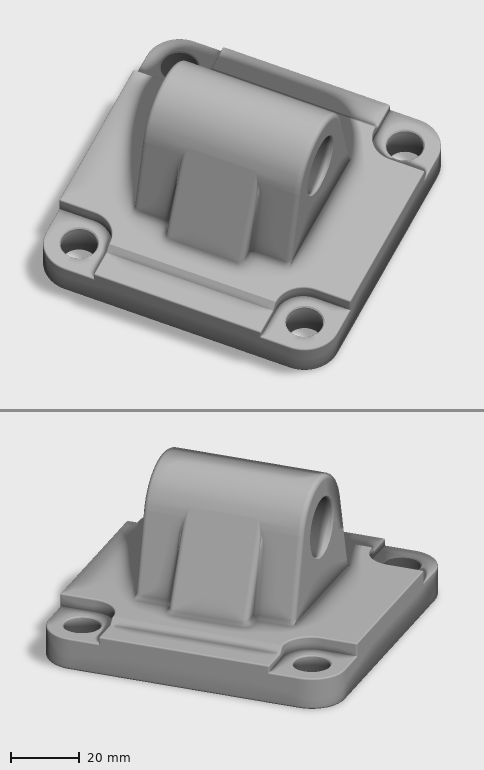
import cadquery as cq
import math

plate_size = 93.0
plate_top = 14.0
corner_radius = 10.5
edge_round = 0.5
bottom_round = 0.7

strip_top = 12.2
strip_slope_start = 35.7
strip_slope_end = 37.7

seat_height = 9.95
seat_inner = 26.7
seat_radius = 8.65
hole_offset = 36.0
hole_diameter = 11.0
hole_chamfer = 0.4

pin_height = 36.0
bearing_radius = 16.0
block_length = 50.0
block_slope = 14.0
block_round = 1.5
bore_diameter = 18.0
bore_chamfer = 0.4

rib_width = 24.9
rib_slope = 25.0
rib_round = 1.6

root_round = 1.5
end_root_round = 0.5
valley_round = 1.0

embed_depth = 2.8

tolerance = 0.01


def flank_tangent(slope):
    """Y and Z where a flank leaning by slope degrees touches the bearing radius."""
    angle = math.radians(slope)
    return bearing_radius * math.cos(angle), pin_height + bearing_radius * math.sin(angle)


def flank_y(slope, height):
    """Distance from the center plane to a flank at the given height."""
    tangent_y, tangent_z = flank_tangent(slope)
    return tangent_y + (tangent_z - height) * math.tan(math.radians(slope))


def bearing_prism(slope, length):
    """Round-topped prism along X with straight flanks tangent to the bearing radius."""
    bottom = plate_top - embed_depth
    foot_y = flank_y(slope, bottom)
    tangent_y, tangent_z = flank_tangent(slope)
    return (
        cq.Workplane("YZ", origin=(-length / 2, 0, 0))
        .moveTo(-foot_y, bottom)
        .lineTo(-tangent_y, tangent_z)
        .threePointArc((0, pin_height + bearing_radius), (tangent_y, tangent_z))
        .lineTo(foot_y, bottom)
        .close()
        .extrude(length)
    )


def rounded_rib(width, radius):
    """Rib prism with its sloping side edges rounded."""
    rib = bearing_prism(rib_slope, width)
    return rib.faces("<X or >X").edges("not(<Z)").fillet(radius)


def flared_cutter(diameter, chamfer, length):
    """Hole cutter along Z from the origin, flared by a chamfer at both mouths."""
    radius = diameter / 2
    return (
        cq.Workplane("XZ")
        .lineTo(radius + chamfer, 0)
        .lineTo(radius, chamfer)
        .lineTo(radius, length - chamfer)
        .lineTo(radius + chamfer, length)
        .lineTo(0, length)
        .close()
        .revolve(360, (0, 0, 0), (0, 1, 0))
    )


def corner_fill(plane, radius, length):
    """Concave filler bar for a square inner corner at the plane origin."""
    middle = radius * (1 - math.sqrt(0.5))
    return (
        cq.Workplane(plane)
        .lineTo(radius, 0)
        .threePointArc((middle, middle), (0, radius))
        .close()
        .extrude(length)
    )


def base_plate():
    """Rounded square plate with two lowered strips and four corner seats."""
    half = plate_size / 2
    plate = (
        cq.Workplane("XY")
        .rect(plate_size, plate_size)
        .extrude(plate_top)
        .edges("|Z")
        .fillet(corner_radius)
    )

    strip = (
        cq.Workplane("YZ", origin=(-half, 0, 0))
        .moveTo(strip_slope_start, plate_top)
        .lineTo(strip_slope_end, strip_top)
        .lineTo(half, strip_top)
        .lineTo(half, plate_top)
        .close()
        .extrude(plate_size)
    )
    plate = plate.cut(strip).cut(strip.mirror("XZ"))

    seat_size = 2 * (half - seat_inner)
    seats = (
        cq.Workplane("XY", origin=(0, 0, seat_height))
        .rect(plate_size, plate_size, forConstruction=True)
        .vertices()
        .rect(seat_size, seat_size)
        .extrude(plate_top)
        .edges("|Z")
        .fillet(seat_radius)
    )
    return plate.cut(seats)


def round_plate_edges(plate):
    """Round the raised rims, the outer rims of the seats and the bottom rim."""
    outer_reach = plate_size / 2 - corner_radius / 2

    def is_upper_rim(edge):
        middle = edge.Center()
        outer = max(abs(middle.x), abs(middle.y)) > outer_reach
        if outer:
            return middle.z > seat_height - tolerance
        return middle.z > strip_top - tolerance and abs(middle.x) > tolerance

    upper_rims = [edge for edge in plate.edges().vals() if is_upper_rim(edge)]
    plate = plate.newObject(upper_rims).fillet(edge_round)
    return plate.faces("<Z").edges().fillet(bottom_round)


def block_with_ribs(plate):
    """Add the bearing block and ribs, with wide rounds at the foot of their flanks."""
    block = bearing_prism(block_slope, block_length)
    block = block.faces("<X or >X").edges("not(<Z)").fillet(block_round)
    ribs = rounded_rib(rib_width, rib_round)
    part = plate.union(block).union(ribs)

    def is_root(edge):
        middle = edge.Center()
        reach = math.hypot(middle.x, middle.y)
        on_plate = abs(middle.z - plate_top) < tolerance and edge.BoundingBox().zlen < tolerance
        return on_plate and reach < strip_slope_start - 2 * edge_round

    roots = [edge for edge in part.edges().vals() if is_root(edge)]
    part = part.newObject(roots).fillet(root_round)
    return part.cut(end_trim())


def end_trim():
    """Cutters that take the wide root rounds off the two end faces of the block."""
    trim_width = 2 * root_round
    cutter = (
        cq.Workplane("XY", origin=((block_length + trim_width) / 2, 0, plate_top))
        .rect(trim_width, 2 * strip_slope_start)
        .extrude(trim_width)
    )
    return cutter.union(cutter.mirror("YZ"))


def valley_fills():
    """Concave fills between the rib sides and the block flanks."""
    angle = math.radians(block_slope)
    tangent_y, tangent_z = flank_tangent(block_slope)
    plane = cq.Plane(
        origin=(rib_width / 2, -tangent_y, tangent_z),
        xDir=(1, 0, 0),
        normal=(0, -math.sin(angle), -math.cos(angle)),
    )
    length = (tangent_z - plate_top) / math.cos(angle)
    fill = corner_fill(plane, valley_round, length)
    fill = fill.intersect(rounded_rib(rib_width + 2 * valley_round, rib_round + valley_round))
    pair = fill.union(fill.mirror("YZ"))
    return pair.union(pair.mirror("XZ"))


def end_root_fills():
    """Small concave fills where the end faces of the block meet the plate."""
    length = 2 * (flank_y(block_slope, plate_top) - block_round)
    plane = cq.Plane(
        origin=(block_length / 2, length / 2, plate_top), xDir=(1, 0, 0), normal=(0, -1, 0)
    )
    fill = corner_fill(plane, end_root_round, length)
    return fill.union(fill.mirror("YZ"))


def mounting_holes():
    """Cutters for the corner holes, reaching below the plate so only the seats are chamfered."""
    spacing = 2 * hole_offset
    overshoot = 2 * hole_chamfer
    cutter = flared_cutter(hole_diameter, hole_chamfer, seat_height + overshoot)
    cutter = cutter.translate((0, 0, -overshoot)).val()
    return (
        cq.Workplane("XY")
        .rect(spacing, spacing, forConstruction=True)
        .vertices()
        .eachpoint(cutter, combine=True)
    )


def pin_bore():
    """Cutter for the bore along X, flared at both end faces of the block."""
    cutter = flared_cutter(bore_diameter, bore_chamfer, block_length)
    cutter = cutter.rotate((0, 0, 0), (0, 1, 0), 90)
    return cutter.translate((-block_length / 2, 0, pin_height))


plate = round_plate_edges(base_plate())
part = block_with_ribs(plate)
part = part.union(valley_fills()).union(end_root_fills())
result = part.cut(mounting_holes()).cut(pin_bore())